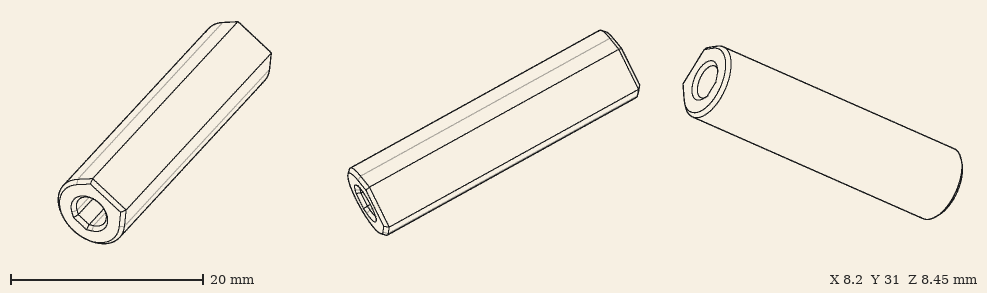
import cadquery as cq
import math

length = 31.0
body_radius = 4.0
flat_top_corner = (0.15, 4.45)
flat_side_corner = (4.2, 1.9)

bore_radius = 1.8
bore_flat_distance = 1.7
bore_flat_half_width = 0.78

chamfer = 0.4


def tangent_point(corner, radius, side):
    """Where the tangent from a corner touches the circle, turned to the given side (+1 or -1)."""
    corner_angle = math.atan2(corner[1], corner[0])
    tangent_angle = corner_angle + side * math.acos(radius / math.hypot(*corner))
    return (radius * math.cos(tangent_angle), radius * math.sin(tangent_angle))


def flatted_prism(radius, first_corner, second_corner):
    """Prism of a circle joined by tangents to a flat; corners run counterclockwise."""
    start = tangent_point(first_corner, radius, -1)
    end = tangent_point(second_corner, radius, 1)
    mid_x = first_corner[0] + second_corner[0]
    mid_z = first_corner[1] + second_corner[1]
    mid_length = math.hypot(mid_x, mid_z)
    opposite = (-radius * mid_x / mid_length, -radius * mid_z / mid_length)
    return (
        cq.Workplane("XZ", origin=(0, length / 2, 0))
        .moveTo(*start)
        .lineTo(*first_corner)
        .lineTo(*second_corner)
        .lineTo(*end)
        .threePointArc(opposite, start)
        .close()
        .extrude(length)
    )


flat_dx = flat_side_corner[0] - flat_top_corner[0]
flat_dz = flat_side_corner[1] - flat_top_corner[1]
flat_angle = math.atan2(flat_dz, flat_dx)
bore_flat_angle = flat_angle - math.pi / 2
bore_half_angle = math.atan2(bore_flat_half_width, bore_flat_distance)
bore_corner_radius = math.hypot(bore_flat_half_width, bore_flat_distance)


def bore_corner(side):
    """End of the bore flat, clockwise (-1) or counterclockwise (+1) from its middle."""
    angle = bore_flat_angle + side * bore_half_angle
    return (bore_corner_radius * math.cos(angle), bore_corner_radius * math.sin(angle))


body = flatted_prism(body_radius, flat_side_corner, flat_top_corner)
bore = flatted_prism(bore_radius, bore_corner(-1), bore_corner(1))

result = body.cut(bore).faces("<Y or >Y").edges().chamfer(chamfer)